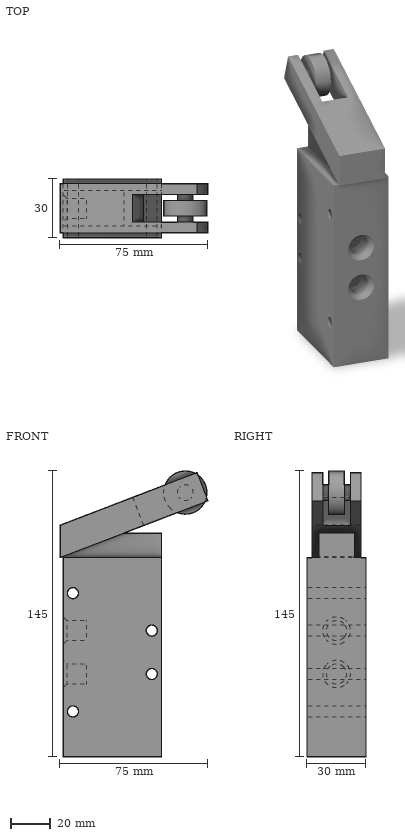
import cadquery as cq
import math

body_length = 50.0
body_width = 30.0
body_height = 101.0

pedestal_width = 18.0
pedestal_top = 113.4

lever_width = 25.0
lever_thickness = 15.4
lever_angle = math.radians(21.0)
lever_overhang = 1.5
lever_reach = 75.0
fork_slot_width = 14.0
fork_slot_length = 35.0

roller_diameter = 22.0
roller_width = 8.0
pin_diameter = 8.0
roller_x = 62.0
roller_z = 134.0

mount_diameter = 5.5
mount_inset = 5.0
mount_middle_z = 53.0
wide_spacing = 60.0
port_spacing = 22.0

port_mouth_diameter = 14.0
port_bore_diameter = 10.2
port_depth = 12.0
port_chamfer = (port_mouth_diameter - port_bore_diameter) / 2

lever_left = -lever_overhang
lever_bottom_length = lever_reach / math.cos(lever_angle)


def along_lever(distance, height):
    """X and Z of a point given along and square to the lever's underside."""
    x = lever_left + distance * math.cos(lever_angle) - height * math.sin(lever_angle)
    z = body_height + distance * math.sin(lever_angle) + height * math.cos(lever_angle)
    return (x, z)


def extrude_outline(points, width):
    """Prism with an XZ outline, centred on Y = 0."""
    return cq.Workplane("XZ", origin=(0, width / 2, 0)).polyline(points).close().extrude(width)


def cross_cylinder(x, z, diameter, width):
    """Cylinder along Y, centred on Y = 0."""
    return cq.Workplane("XZ", origin=(x, width / 2, z)).circle(diameter / 2).extrude(width)


def make_body():
    """Rectangular valve body."""
    return (
        cq.Workplane("XY", origin=(body_length / 2, 0, 0))
        .rect(body_length, body_width)
        .extrude(body_height)
    )


def cut_mounting_holes(body):
    for x, spacing in ((mount_inset, wide_spacing), (body_length - mount_inset, port_spacing)):
        for side in (-1, 1):
            z = mount_middle_z + side * spacing / 2
            body = body.cut(cross_cylinder(x, z, mount_diameter, body_width))
    return body


def make_port(z):
    """Blind bore with a 45 degree countersink, entering from the -X face."""
    mouth_radius = port_mouth_diameter / 2
    bore_radius = port_bore_diameter / 2
    profile = [
        (0, z),
        (0, z + mouth_radius),
        (port_chamfer, z + bore_radius),
        (port_depth, z + bore_radius),
        (port_depth, z),
    ]
    return cq.Workplane("XZ").polyline(profile).close().revolve(360, (0, z), (1, z))


def cut_ports(body):
    for side in (-1, 1):
        body = body.cut(make_port(mount_middle_z + side * port_spacing / 2))
    return body


def make_pedestal():
    """Support whose top slopes up with the lever, then runs level to the +X face."""
    slope_end = lever_left + (pedestal_top - body_height) / math.tan(lever_angle)
    slope_start_z = body_height + lever_overhang * math.tan(lever_angle)
    outline = [
        (0, body_height),
        (0, slope_start_z),
        (slope_end, pedestal_top),
        (body_length, pedestal_top),
        (body_length, body_height),
    ]
    return extrude_outline(outline, pedestal_width)


def make_lever():
    left_top_z = body_height + lever_thickness / math.cos(lever_angle)
    outline = [
        (lever_left, body_height),
        along_lever(lever_bottom_length, 0),
        along_lever(lever_bottom_length, lever_thickness),
        (lever_left, left_top_z),
    ]
    slot_start = lever_bottom_length - fork_slot_length
    slot_outline = [
        along_lever(slot_start, 0),
        along_lever(lever_bottom_length, 0),
        along_lever(lever_bottom_length, lever_thickness),
        along_lever(slot_start, lever_thickness),
    ]
    return extrude_outline(outline, lever_width).cut(extrude_outline(slot_outline, fork_slot_width))


def make_roller():
    """Roller on a pin that ends inside the fork arms."""
    pin_length = (fork_slot_width + lever_width) / 2
    roller = cross_cylinder(roller_x, roller_z, roller_diameter, roller_width)
    return roller.union(cross_cylinder(roller_x, roller_z, pin_diameter, pin_length))


valve_body = cut_ports(cut_mounting_holes(make_body()))
result = valve_body.union(make_pedestal()).union(make_lever()).union(make_roller())